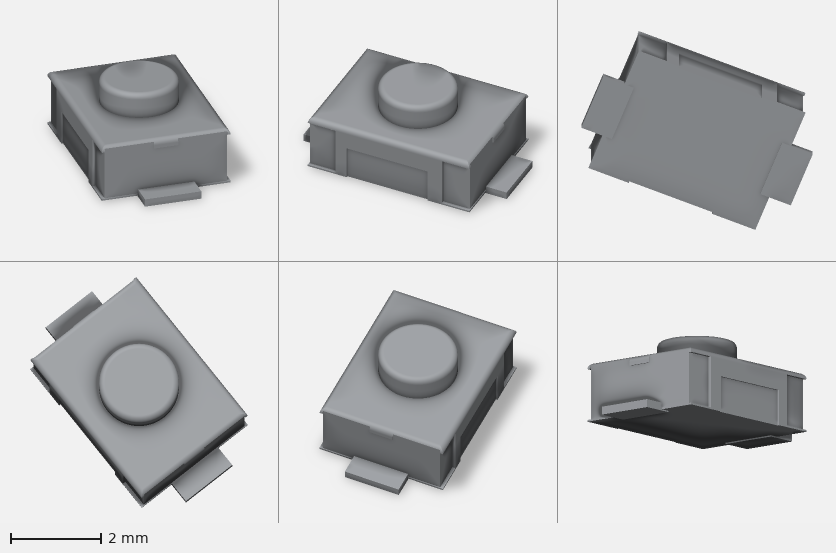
import cadquery as cq

cover_length = 3.98
cover_width = 3.0
cover_top = 1.35
bend_radius = 0.13
bend_bottom = cover_top - bend_radius

plate_bottom = 0.03
plate_top = 0.07

end_inset = 0.025
side_inset = 0.075
end_strip_center_x = (cover_length - end_inset) / 2
housing_length = cover_length - 2 * end_inset
housing_width = cover_width - 2 * side_inset

flap_length = 2.62
recess_length = 1.99
recess_center_x = 0.037
recess_top = 0.825
recess_depth = 0.04

tab_width = 0.56
tab_bottom = 1.14

terminal_span = 5.0
terminal_inner_span = 3.54
terminal_width = 1.31
terminal_thickness = 0.18

button_diameter = 1.775
button_top = 1.93
button_edge_radius = 0.13


def block(length, width, bottom, top, center_x=0.0, center_y=0.0):
    """Box centred on (center_x, center_y) between two heights."""
    return (
        cq.Workplane("XY", origin=(center_x, center_y, bottom))
        .rect(length, width)
        .extrude(top - bottom)
    )


def make_cover():
    """Rounded cover, trimmed flush with the housing ends except at the tabs."""
    rounded = block(cover_length, cover_width, plate_bottom, cover_top)
    rounded = rounded.faces(">Z").edges().fillet(bend_radius)
    cover = rounded.intersect(block(cover_length, cover_width, bend_bottom, cover_top))
    tabs = rounded.intersect(block(cover_length, tab_width, tab_bottom, cover_top))
    for side in (-1, 1):
        trim_x = side * end_strip_center_x
        cover = cover.cut(block(end_inset, housing_width, bend_bottom, cover_top, trim_x))
    return cover.union(tabs)


def make_housing():
    """Housing and base plate with the cover's side flaps."""
    housing = block(housing_length, housing_width, plate_bottom, bend_bottom)
    plate = block(cover_length, cover_width, plate_bottom, plate_top)
    flaps = block(flap_length, cover_width, plate_bottom, bend_bottom)
    return housing.union(plate).union(flaps)


def cut_flap_recesses(body):
    """Shallow recess in both side flaps, offset slightly along X."""
    for side in (-1, 1):
        recess_y = side * (cover_width - recess_depth) / 2
        recess = block(
            recess_length, recess_depth, plate_bottom, recess_top, recess_center_x, recess_y
        )
        body = body.cut(recess)
    return body


def add_terminals(body):
    """Terminals running under the base plate, with a thin gap to the housing above it."""
    length = (terminal_span - terminal_inner_span) / 2
    for side in (-1, 1):
        terminal_x = side * (terminal_span + terminal_inner_span) / 4
        body = body.union(block(length, terminal_width, 0, terminal_thickness, terminal_x))
        gap_x = side * end_strip_center_x
        body = body.cut(block(end_inset, terminal_width, plate_top, terminal_thickness, gap_x))
    return body


def make_button():
    """Round push button with a rounded top edge."""
    return (
        cq.Workplane("XY", origin=(0, 0, bend_bottom))
        .circle(button_diameter / 2)
        .extrude(button_top - bend_bottom)
        .faces(">Z")
        .edges()
        .fillet(button_edge_radius)
    )


body = make_housing().union(make_cover())
body = cut_flap_recesses(body)
body = add_terminals(body)
result = body.union(make_button())